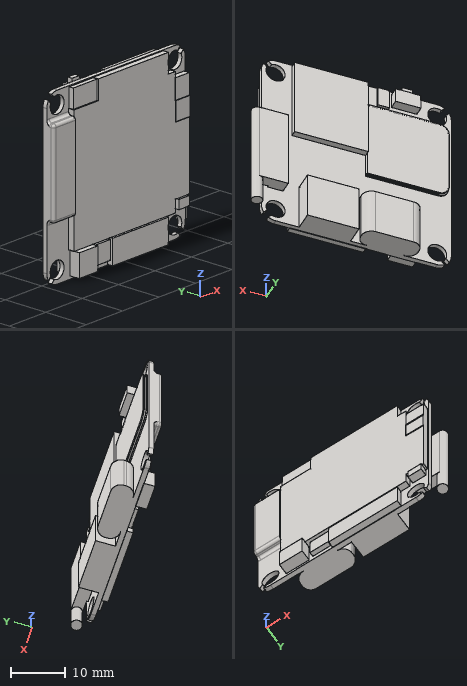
import cadquery as cq
import math


board_size = 38.0
half_board = board_size / 2
board_thickness = 1.0
corner_radius = 2.85
hole_diameter = 3.75
hole_offset = half_board - corner_radius
slot_width = 1.2

shield_height = 1.3
shield_left, shield_right = -13.05, 14.82
shield_bottom, shield_top = -13.1, 14.58
edge_gap = 0.15
ear_left, ear_right = -6.35, 12.9
wing_right = 18.75
wing_bottom, wing_top = -10.45, 4.7

block_height = 2.27
block_size = 5.08
block_left, block_bottom = -12.65, -18.3
chip_height = 0.95
chip_size = 4.1
chip_left, chip_bottom = -6.75, -17.75
strip_left = -2.4
strip_top = -13.4
corner_box_height = 1.0
corner_box_left = -12.87
corner_box_top = 18.75
side_box_split, side_box_top = 8.9, 13.3
upper_side_box_height = 1.25
lower_side_box_height = 1.42
small_chip_left, small_chip_right = 15.47, 18.4
small_chip_bottom, small_chip_top = -12.6, -10.55
small_chip_height = 1.6

plug_height = 1.7
plug_bottom, plug_top = -6.15, 13.3
plug_round = 0.65

button_left, button_right = -12.05, -7.0
button_bottom, button_top = 15.35, 18.35
button_height = 1.95
key_left, key_right = -10.55, -8.45
key_low, key_height = 0.35, 1.55
key_top = 19.45

relay_left, relay_right = -6.35, -4.05
relay_bottom, relay_top = 14.6, 18.75
relay_height = 0.55

socket_left, socket_right = -1.83, 12.9
socket_bottom, socket_top = 2.27, 18.75
socket_height = 1.25

pad_left, pad_right = -18.2, socket_left
pad_bottom, pad_top = -2.5, 13.8
pad_corner = 2.05
pad_step = 0.12
pad_base, pad_waist, pad_cap = 0.25, 0.35, 0.25

port_left, port_right = -11.5, 0.0
port_top = -9.5
port_height = 4.35
port_corner = 1.95

header_left, header_right = 1.18, 11.45
header_height = 3.85

antenna_right = 21.6
antenna_diameter = 2.2
antenna_gap = 0.3
antenna_left, antenna_foot_right = 14.7, 17.8
antenna_top, antenna_body_bottom, antenna_bottom = 4.75, -11.5, -16.53


def box_between(x_range, y_range, z_range):
    """Axis-aligned box from its limits along X, Y and Z."""
    sizes = [high - low for low, high in (x_range, y_range, z_range)]
    corner = (x_range[0], y_range[0], z_range[0])
    return cq.Workplane("XY").box(*sizes, centered=False).translate(corner)


def front_box(x_range, z_range, height):
    """Box standing on the front face of the board."""
    return box_between(x_range, (-height, 0), z_range)


def back_box(x_range, z_range, height, base=0):
    """Box on the back of the board, between two heights above the back face."""
    return box_between(x_range, (board_thickness + base, board_thickness + height), z_range)


def make_board():
    """Rounded board with a hole in each corner, slotted out to the corner."""
    board = front_box((-half_board, half_board), (-half_board, half_board), board_thickness)
    board = board.edges("|Y").fillet(corner_radius)
    hole = cq.Workplane("XZ").circle(hole_diameter / 2).extrude(board_thickness)
    slot = front_box((0, 2 * corner_radius), (-slot_width / 2, slot_width / 2), board_thickness)
    for x_sign in (-1, 1):
        for z_sign in (-1, 1):
            outward = math.degrees(math.atan2(z_sign, x_sign))
            cutter = hole.union(slot.rotate((0, 0, 0), (0, -1, 0), outward))
            board = board.cut(cutter.translate((x_sign * hole_offset, 0, z_sign * hole_offset)))
    return board.translate((0, board_thickness, 0))


def make_shield():
    """Shield can with an ear at the top and a wing at the right."""
    body = front_box((shield_left, shield_right), (shield_bottom, shield_top), shield_height)
    ear = front_box((ear_left, ear_right), (shield_top, half_board - edge_gap), shield_height)
    wing = front_box((shield_right, wing_right), (wing_bottom, wing_top), shield_height)
    return body.union(ear).union(wing)


def make_front_components():
    """Plain rectangular components around the shield can."""
    block = front_box(
        (block_left, block_left + block_size), (block_bottom, block_bottom + block_size), block_height
    )
    chip = front_box((chip_left, chip_left + chip_size), (chip_bottom, chip_bottom + chip_size), chip_height)
    strip = front_box((strip_left, ear_right), (edge_gap - half_board, strip_top), shield_height)
    corner_box = front_box((corner_box_left, ear_left), (shield_top, corner_box_top), corner_box_height)
    upper_side_box = front_box((shield_right, wing_right), (side_box_split, side_box_top), upper_side_box_height)
    lower_side_box = front_box((shield_right, wing_right), (wing_top, side_box_split), lower_side_box_height)
    small_chip = front_box(
        (small_chip_left, small_chip_right), (small_chip_bottom, small_chip_top), small_chip_height
    )
    return [block, chip, strip, corner_box, upper_side_box, lower_side_box, small_chip]


def make_plug():
    """Rounded connector whose upper and lower walls flare into the board."""
    plug = front_box((-half_board, shield_left), (plug_bottom, plug_top), plug_height)
    plug = plug.edges("|Y and <X").fillet(plug_round)
    plug = plug.faces("<Y").edges("not >X").fillet(plug_round)

    for wall_z, side in ((plug_top, 1), (plug_bottom, -1)):
        plug = plug.union(make_plug_foot(wall_z, side))
    return plug


def make_plug_foot(wall_z, side):
    """Concave foot along one wall and around its corner, ending at the board edge."""
    r = plug_round
    corner_x = r - half_board
    corner_z = wall_z - side * r
    length = shield_left - corner_x

    outer_z = wall_z + side * r
    bar = front_box((corner_x, shield_left), sorted((wall_z, outer_z)), r)
    groove = cq.Workplane("YZ").center(-r, outer_z).circle(r).extrude(length)
    foot = bar.cut(groove.translate((corner_x, 0, 0)))

    flare = (
        cq.Workplane("XY")
        .lineTo(2 * r, 0)
        .radiusArc((r, -r), -r)
        .lineTo(0, -r)
        .close()
        .revolve(360, (0, 0, 0), (0, 1, 0))
        .translate((corner_x, 0, corner_z))
    )
    quadrant = front_box((-half_board, corner_x), sorted((corner_z, outer_z)), r)
    return foot.union(flare.intersect(quadrant))


def make_pad():
    """Layered rounded pad on the back with a narrower waist."""
    def layer(inset, base, thickness):
        x_range = (pad_left + inset, pad_right)
        z_range = (pad_bottom + inset, pad_top - inset)
        return back_box(x_range, z_range, base + thickness, base).edges("|Y and <X").fillet(pad_corner)

    pad = layer(-pad_step, 0, pad_base)
    pad = pad.union(layer(pad_step, pad_base, pad_waist))
    return pad.union(layer(0, pad_base + pad_waist, pad_cap))


def make_back_components():
    """Push button, relay, sockets and port on the back of the board."""
    button = back_box((button_left, button_right), (button_bottom, button_top), button_height)
    key = back_box((key_left, key_right), (button_top, key_top), key_height, key_low)
    relay = back_box((relay_left, relay_right), (relay_bottom, relay_top), relay_height)
    socket = back_box((socket_left, socket_right), (socket_bottom, socket_top), socket_height)
    port = back_box((port_left, port_right), (-half_board, port_top), port_height)
    port = port.edges("|Z").fillet(port_corner)
    header = back_box((header_left, header_right), (-half_board, port_top), header_height)
    return [button, key, relay, socket, port, header]


def make_antenna():
    """Antenna body on a foot, ending in a longer cylinder parallel to Z."""
    radius = antenna_diameter / 2
    axis_x = antenna_right - radius
    axis_y = board_thickness + antenna_gap + radius
    body_z = (antenna_body_bottom, antenna_top)
    foot = back_box((antenna_left, antenna_foot_right), body_z, antenna_gap)
    body = back_box((antenna_left, axis_x), body_z, antenna_gap + antenna_diameter, antenna_gap)
    rod = cq.Workplane("XY").circle(radius).extrude(antenna_top - antenna_bottom)
    return foot.union(body).union(rod.translate((axis_x, axis_y, antenna_bottom)))


result = make_board().union(make_shield())
for component in make_front_components() + make_back_components():
    result = result.union(component)
result = result.union(make_plug()).union(make_pad()).union(make_antenna())